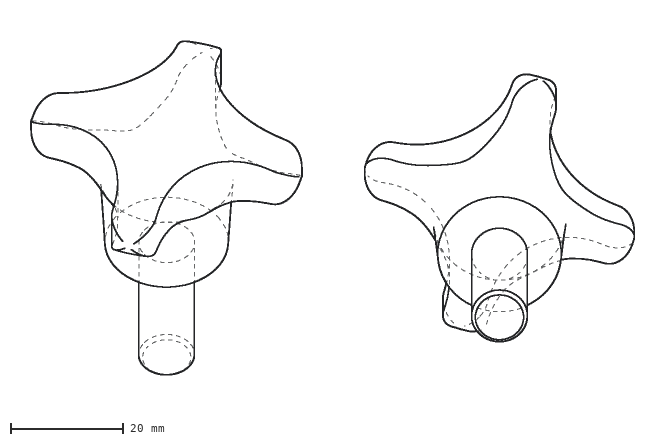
import cadquery as cq
import math

total_height = 62.0
head_span = 50.0

stud_diameter = 10.0
stud_length = 30.0
stud_chamfer = 0.7

hub_bottom_diameter = 22.1
hub_top_diameter = 23.7
hub_height = 16.25
flare_radius = 3.7

arm_count = 4
arm_width = 8.0
scallop_radius = 16.0
rim_round_radius = 4.35
cutter_margin = 6.2

head_radius = head_span / 2
hub_bottom_radius = hub_bottom_diameter / 2
hub_top_radius = hub_top_diameter / 2
hub_top_z = stud_length + hub_height
head_bottom_z = hub_top_z + flare_radius
arm_half_width = arm_width / 2
tip_centre = head_radius - arm_half_width
scallop_centre = arm_half_width + scallop_radius

rim_centre_x = head_radius - rim_round_radius
rim_centre_z = head_bottom_z + rim_round_radius
rim_drop = total_height - rim_centre_z
rim_offset_squared = rim_centre_x**2 + rim_drop**2 - rim_round_radius**2
dome_radius = rim_offset_squared / (2 * (rim_drop - rim_round_radius))
dome_centre_z = total_height - dome_radius


def make_stud():
    stud = cq.Workplane("XY").circle(stud_diameter / 2).extrude(stud_length)
    return stud.faces("<Z").chamfer(stud_chamfer)


def make_turned_body():
    """Hub, flare and domed disc turned about Z as a single profile."""
    diagonal = math.sqrt(0.5)
    flare_centre_x = hub_top_radius + flare_radius
    flare_middle = (flare_centre_x - flare_radius * diagonal, hub_top_z + flare_radius * diagonal)

    def rim_point(angle):
        x = rim_centre_x + rim_round_radius * math.cos(angle)
        z = rim_centre_z + rim_round_radius * math.sin(angle)
        return x, z

    rim_angle = math.atan2(rim_centre_z - dome_centre_z, rim_centre_x)
    rim_top = rim_point(rim_angle)

    rim_lower_middle = rim_point(-math.pi / 4)
    rim_upper_middle = rim_point(rim_angle / 2)

    dome_angle = (rim_angle + math.pi / 2) / 2
    dome_middle = (dome_radius * math.cos(dome_angle), dome_centre_z + dome_radius * math.sin(dome_angle))

    return (
        cq.Workplane("XZ")
        .moveTo(0, stud_length)
        .lineTo(hub_bottom_radius, stud_length)
        .lineTo(hub_top_radius, hub_top_z)
        .threePointArc(flare_middle, (flare_centre_x, head_bottom_z))
        .lineTo(rim_centre_x, head_bottom_z)
        .threePointArc(rim_lower_middle, (head_radius, rim_centre_z))
        .threePointArc(rim_upper_middle, rim_top)
        .threePointArc(dome_middle, (0, total_height))
        .close()
        .revolve(360, (0, 0), (0, 1))
    )


def make_scallop_cutter():
    """Vertical prism that removes all material between the +X and +Y arms.

    Its inner edge follows half of the +X arm tip, the scallop and half of the +Y arm tip.
    """
    diagonal = math.sqrt(0.5)
    scallop_middle = scallop_centre - scallop_radius * diagonal
    tip_middle = tip_centre + arm_half_width * diagonal
    tip_side = arm_half_width * diagonal
    cutter_edge = head_radius + cutter_margin
    return (
        cq.Workplane("XY", origin=(0, 0, stud_length))
        .moveTo(cutter_edge, 0)
        .lineTo(head_radius, 0)
        .threePointArc((tip_middle, tip_side), (tip_centre, arm_half_width))
        .lineTo(scallop_centre, arm_half_width)
        .threePointArc((scallop_middle, scallop_middle), (arm_half_width, scallop_centre))
        .lineTo(arm_half_width, tip_centre)
        .threePointArc((tip_side, tip_middle), (0, head_radius))
        .lineTo(0, cutter_edge)
        .lineTo(cutter_edge, cutter_edge)
        .close()
        .extrude(total_height - stud_length)
    )


def make_knob():
    knob = make_turned_body()
    cutter = make_scallop_cutter()
    for arm in range(arm_count):
        knob = knob.cut(cutter.rotate((0, 0, 0), (0, 0, 1), arm * 360 / arm_count))
    return knob


result = make_knob().union(make_stud())